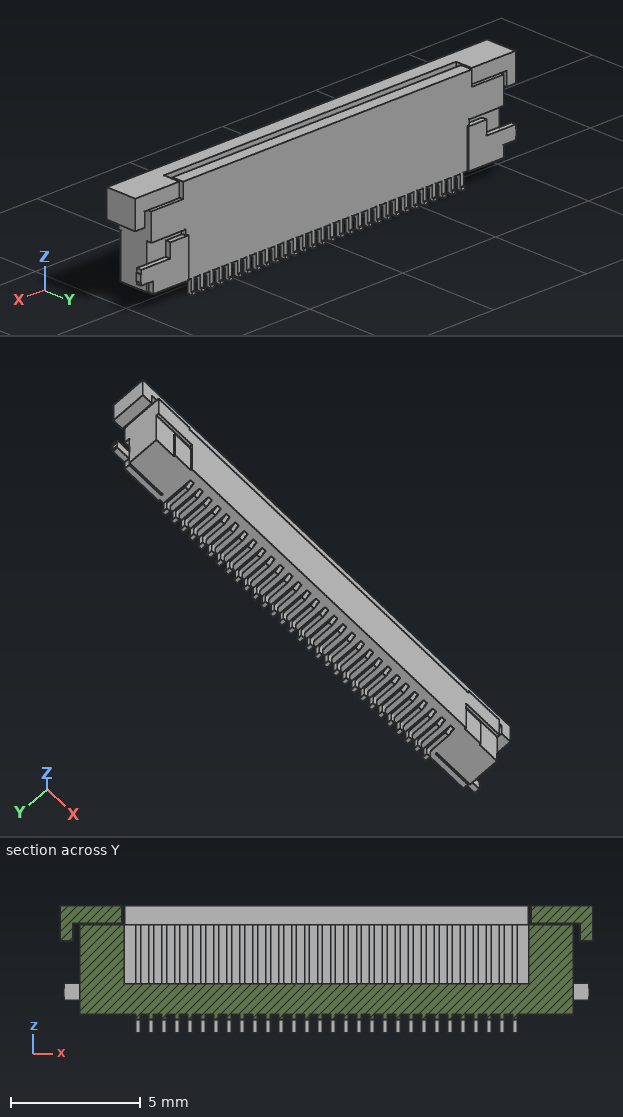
import cadquery as cq


BODY_LENGTH = 19.0
BODY_DEPTH = 1.81
SHOULDER_Z = 3.47
SADDLE_Z = 3.32
SADDLE_LENGTH = 15.56
TOP_Z = 4.2
REAR_WALL_FRONT_Y = 1.22

SLOT_FRONT_Y = 0.85
SLOT_BACK_Y = 1.16
SLOT_FLOOR_Z = 1.2

LEVER_LENGTH = 20.5
LEVER_FRONT_Y = 0.12
LEVER_BACK_Y = 1.7
LEVER_UNDERSIDE_Z = 3.51
LEVER_MIDDLE_LENGTH = 15.74
LEVER_ARM_WIDTH = 0.5
LEVER_ARM_BOTTOM_Z = 2.83

RECESS_INNER_X = 7.64
RECESS_HEIGHT = 2.15
FRONT_RECESS_DEPTH = 0.12
REAR_RECESS_DEPTH = 0.25
NAIL_HEIGHT = 1.9
NAIL_OUTER_X = 8.52
NAIL_ROOT = 0.1
FRONT_NAIL_THICKNESS = 0.06
REAR_NAIL_THICKNESS = 0.25
REAR_NAIL_BACK_Y = 1.87
NAIL_FOOT_OUTER_X = 9.45
TAB_OUTER_X = 10.12
TAB_BOTTOM_Z = 0.55
TAB_TOP_Z = 1.22
STUB_LENGTH = 0.02
STUB_BOTTOM_Z = 0.67
STUB_TOP_Z = 1.04

CONTACT_COUNT = 30
CONTACT_PITCH = 0.5
CONTACT_WIDTH = 0.19
CONTACT_TOP_Z = SHOULDER_Z
CONTACT_FRONT_Y = 1.1
TAIL_THICKNESS = 0.19
TAIL_BOTTOM_Z = -0.7
TAIL_TIP_Y = 0.36
TAIL_BEND_Y = 0.65
TAIL_BEND_RADIUS = 0.08
SOLE_HEIGHT = 0.15
SOLE_BACK_Y = REAR_NAIL_BACK_Y


def block(x_range, y_range, z_range):
    """Box between the given limits."""
    x0, x1 = x_range
    y0, y1 = y_range
    z0, z1 = z_range
    return cq.Workplane("XY").box(x1 - x0, y1 - y0, z1 - z0, centered=False).translate((x0, y0, z0))


def centred_block(length, y_range, z_range):
    """Box centred on X = 0."""
    return block((-length / 2, length / 2), y_range, z_range)


def both_ends(shape):
    """The shape together with its mirror image at the other end of the part."""
    return shape.union(shape.mirror("YZ"))


def make_housing():
    housing = centred_block(BODY_LENGTH, (0, BODY_DEPTH), (0, SHOULDER_Z))
    saddle = centred_block(SADDLE_LENGTH, (0, SLOT_BACK_Y), (SADDLE_Z, TOP_Z))
    rear_wall = centred_block(SADDLE_LENGTH, (REAR_WALL_FRONT_Y, BODY_DEPTH), (SHOULDER_Z, TOP_Z))
    slot = centred_block(SADDLE_LENGTH, (SLOT_FRONT_Y, SLOT_BACK_Y), (SLOT_FLOOR_Z, SHOULDER_Z))
    recess_x = (RECESS_INNER_X, BODY_LENGTH / 2)
    front_recess = block(recess_x, (0, FRONT_RECESS_DEPTH), (0, RECESS_HEIGHT))
    rear_recess = block(recess_x, (BODY_DEPTH - REAR_RECESS_DEPTH, BODY_DEPTH), (0, RECESS_HEIGHT))
    housing = housing.cut(saddle).cut(slot).union(rear_wall)
    return housing.cut(both_ends(front_recess)).cut(both_ends(rear_recess))


def make_lever():
    lever_y = (LEVER_FRONT_Y, LEVER_BACK_Y)
    bar = centred_block(LEVER_LENGTH, lever_y, (LEVER_UNDERSIDE_Z, TOP_Z))
    cutaway = centred_block(LEVER_MIDDLE_LENGTH, (SLOT_FRONT_Y, LEVER_BACK_Y), (LEVER_UNDERSIDE_Z, TOP_Z))
    seat = centred_block(LEVER_MIDDLE_LENGTH, (LEVER_FRONT_Y, SLOT_FRONT_Y), (SADDLE_Z, LEVER_UNDERSIDE_Z))
    arm_x = (LEVER_LENGTH / 2 - LEVER_ARM_WIDTH, LEVER_LENGTH / 2)
    arm = block(arm_x, lever_y, (LEVER_ARM_BOTTOM_Z, LEVER_UNDERSIDE_Z))
    return bar.cut(cutaway).union(seat).union(both_ends(arm))


def make_nails():
    inner_x = RECESS_INNER_X - NAIL_ROOT
    front_y = (FRONT_RECESS_DEPTH - FRONT_NAIL_THICKNESS, FRONT_RECESS_DEPTH)
    rear_y = (REAR_NAIL_BACK_Y - REAR_NAIL_THICKNESS, REAR_NAIL_BACK_Y)
    front_plate = block((RECESS_INNER_X, NAIL_OUTER_X), front_y, (0, NAIL_HEIGHT))
    rear_plate = block((inner_x, NAIL_OUTER_X), rear_y, (0, NAIL_HEIGHT))
    foot = block((inner_x, NAIL_FOOT_OUTER_X), rear_y, (0, TAB_TOP_Z))
    tab = block((inner_x, TAB_OUTER_X - STUB_LENGTH), rear_y, (TAB_BOTTOM_Z, TAB_TOP_Z))
    stub = block((inner_x, TAB_OUTER_X), rear_y, (STUB_BOTTOM_Z, STUB_TOP_Z))
    return both_ends(front_plate.union(rear_plate).union(foot).union(tab).union(stub))


def make_contact():
    """One contact centred on X = 0: a strip on the slot's rear wall and an L-shaped solder tail."""
    half_width = CONTACT_WIDTH / 2
    strip = block(
        (-half_width, half_width), (CONTACT_FRONT_Y, SLOT_BACK_Y), (SLOT_FLOOR_Z, CONTACT_TOP_Z)
    )
    leg_front_y = BODY_DEPTH - TAIL_THICKNESS
    bend_bottom_z = -TAIL_THICKNESS - TAIL_BEND_RADIUS
    tail = (
        cq.Workplane("YZ")
        .moveTo(TAIL_TIP_Y, 0)
        .lineTo(TAIL_BEND_Y, -TAIL_THICKNESS)
        .lineTo(leg_front_y - TAIL_BEND_RADIUS, -TAIL_THICKNESS)
        .radiusArc((leg_front_y, bend_bottom_z), TAIL_BEND_RADIUS)
        .lineTo(leg_front_y, TAIL_BOTTOM_Z)
        .lineTo(SOLE_BACK_Y, TAIL_BOTTOM_Z)
        .lineTo(SOLE_BACK_Y, TAIL_BOTTOM_Z + SOLE_HEIGHT)
        .lineTo(BODY_DEPTH, TAIL_BOTTOM_Z + SOLE_HEIGHT)
        .lineTo(BODY_DEPTH, 0)
        .close()
        .extrude(half_width, both=True)
    )
    return strip, tail


def add_contacts(connector):
    first_x = -(CONTACT_COUNT - 1) * CONTACT_PITCH / 2
    pieces = []
    for index in range(CONTACT_COUNT):
        x = first_x + index * CONTACT_PITCH
        pieces += [piece.translate((x, 0, 0)).val() for piece in make_contact()]
    return cq.Workplane(connector.val().fuse(*pieces))


connector = make_housing().union(make_lever()).union(make_nails())
connector = add_contacts(connector)
result = cq.Workplane(connector.val().Solids()[0])